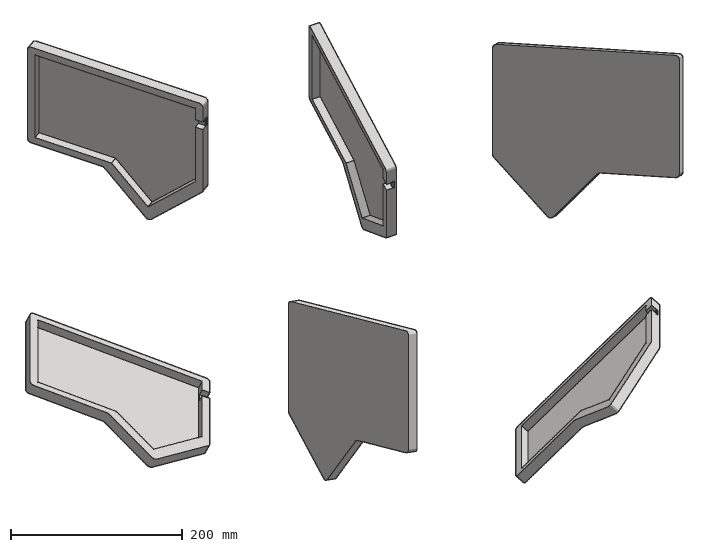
import cadquery as cq

width = 230.1
thickness = 13.0
height = 201.5
corner_radius = 5.0

left_bottom = -144.7
point_start_x = 99.9
tip_overhang = corner_radius * (2 ** 0.5 - 1)
tip_z = -height - tip_overhang
tip_x = point_start_x + left_bottom - tip_z
right_bottom = tip_z + width - tip_x

rim = 10.0
recess_depth = 10.1
recess_bottom = left_bottom + rim
recess_point_start_x = 110.2
recess_tip_x = 158.0
recess_tip_z = recess_bottom - (recess_tip_x - recess_point_start_x)
recess_right = width - rim
recess_right_bottom = recess_tip_z + recess_right - recess_tip_x

notch_top = -27.0
notch_height = 11.3
notch_depth = 7.8
notch_outer_width = 1.4


def front_prism(points, depth):
    """Extrude an XZ outline from the front face (Y = 0) back along +Y."""
    return cq.Workplane("XZ").polyline(points).close().extrude(-depth)


def make_plate():
    outline = [
        (0, 0),
        (width, 0),
        (width, right_bottom),
        (tip_x, tip_z),
        (point_start_x, left_bottom),
        (0, left_bottom),
    ]
    return front_prism(outline, thickness).edges("|Y").fillet(corner_radius)


def make_recess():
    outline = [
        (rim, -rim),
        (recess_right, -rim),
        (recess_right, recess_right_bottom),
        (recess_tip_x, recess_tip_z),
        (recess_point_start_x, recess_bottom),
        (rim, recess_bottom),
    ]
    return front_prism(outline, recess_depth)


def make_notch():
    notch_bottom = notch_top - notch_height

    def strip(left, depth):
        outline = [
            (left, notch_top),
            (width, notch_top),
            (width, notch_bottom),
            (left, notch_bottom),
        ]
        return front_prism(outline, depth)

    outer_strip = strip(width - notch_outer_width, recess_depth)
    return strip(recess_right, notch_depth).union(outer_strip)


result = make_plate().cut(make_recess()).cut(make_notch())